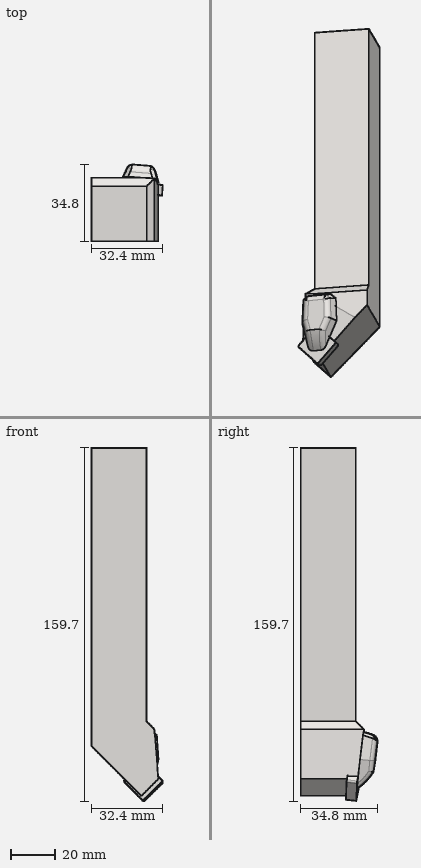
import cadquery as cq
import math

TOTAL_LENGTH = 159.67
SHANK_SIZE = 25.0
HEAD_HEIGHT = 28.85
RAMP_START_Z = 36.0
HEAD_RAMP_WIDTH = 3.5
POINT_X = 22.6
POINT_Z = 2.3
HEAD_SIDE_X = 30.3

INSERT_SIZE = 12.7
INSERT_THICKNESS = 4.76
INSERT_CORNER_RADIUS = 0.8
CUTTING_CORNER = (23.66, 25.1, -0.33)
RAKE_SLOPE_X = 0.08
RAKE_SLOPE_Z = 0.117

CLAMP_HEIGHT = 6.1
CLAMP_ROOT_DEPTH = 2.0
CLAMP_DRAFT = 20.0
CLAMP_RIM_RADIUS = 2.8
CLAMP_OUTLINE = [
    (-5.6, -34.2),
    (1.4, -34.2),
    (6.4, -30.7),
    (7.3, -19.3),
    (3.8, -3.0),
    (-2.6, -3.0),
    (-10.4, -19.0),
    (-10.4, -29.9),
]
CLAMP_TOP_FRONT_Y = -14.5
NOSE_ARC_MIDDLE = (-9.5, 3.1)
NOSE_ROOT_Y = -4.6
REAR_Y = -31.7
REAR_STEP = (-31.2, 2.4)
REAR_ARC_MIDDLE = (-30.2, 4.9)
REAR_ARC_TOP_Y = -28.3

BEYOND_REAR_Y = -40.0
CLAMP_CLEARANCE = 30.0
RAKE_CLEARANCE = 200.0

rake_plane = cq.Plane(
    origin=CUTTING_CORNER,
    xDir=(1, -RAKE_SLOPE_X, 0),
    normal=(RAKE_SLOPE_X, 1, -RAKE_SLOPE_Z),
)


def place_on_rake_plane(workplane):
    """Move a solid modelled around the XY plane onto the rake plane."""
    return cq.Workplane(workplane.val().moved(cq.Location(rake_plane)))


def make_shank_and_head():
    outline = [
        (0, TOTAL_LENGTH),
        (SHANK_SIZE, TOTAL_LENGTH),
        (SHANK_SIZE, RAMP_START_Z),
        (SHANK_SIZE + HEAD_RAMP_WIDTH, RAMP_START_Z - HEAD_RAMP_WIDTH),
        (HEAD_SIDE_X, POINT_Z + HEAD_SIDE_X - POINT_X),
        (POINT_X, POINT_Z),
        (0, POINT_Z + POINT_X),
    ]
    body = cq.Workplane("XZ").polyline(outline).close().extrude(-HEAD_HEIGHT)
    above_shank_outline = [
        (SHANK_SIZE, TOTAL_LENGTH),
        (HEAD_HEIGHT, TOTAL_LENGTH),
        (HEAD_HEIGHT, RAMP_START_Z - (HEAD_HEIGHT - SHANK_SIZE)),
        (SHANK_SIZE, RAMP_START_Z),
    ]
    above_shank = cq.Workplane("YZ").polyline(above_shank_outline).close().extrude(HEAD_SIDE_X)
    above_rake = cq.Workplane(rake_plane).rect(RAKE_CLEARANCE, RAKE_CLEARANCE).extrude(RAKE_CLEARANCE)
    return body.cut(above_shank).cut(above_rake)


def make_clamp():
    blank = (
        cq.Workplane("XY", origin=(0, 0, -CLAMP_ROOT_DEPTH))
        .polyline(CLAMP_OUTLINE)
        .close()
        .extrude(CLAMP_ROOT_DEPTH + CLAMP_HEIGHT, taper=CLAMP_DRAFT)
    )
    nose_profile = (
        cq.Workplane("YZ")
        .moveTo(BEYOND_REAR_Y, -CLAMP_ROOT_DEPTH)
        .lineTo(BEYOND_REAR_Y, CLAMP_HEIGHT)
        .lineTo(CLAMP_TOP_FRONT_Y, CLAMP_HEIGHT)
        .threePointArc(NOSE_ARC_MIDDLE, (NOSE_ROOT_Y, -CLAMP_ROOT_DEPTH))
        .close()
        .extrude(CLAMP_CLEARANCE, both=True)
    )
    clamp = blank.intersect(nose_profile)

    nose_sides = clamp.faces("%CYLINDER").edges("not |X")
    clamp = clamp.faces(">Z").edges("not >Y").add(nose_sides).fillet(CLAMP_RIM_RADIUS)

    rear_profile = (
        cq.Workplane("YZ")
        .moveTo(REAR_Y, 0)
        .lineTo(*REAR_STEP)
        .threePointArc(REAR_ARC_MIDDLE, (REAR_ARC_TOP_Y, CLAMP_HEIGHT))
        .lineTo(0, CLAMP_HEIGHT)
        .lineTo(0, 0)
        .close()
        .extrude(CLAMP_CLEARANCE, both=True)
    )
    return place_on_rake_plane(clamp.intersect(rear_profile))


def make_insert():
    plate = (
        cq.Workplane("XY")
        .rect(INSERT_SIZE, INSERT_SIZE)
        .extrude(-INSERT_THICKNESS)
        .edges("|Z")
        .fillet(INSERT_CORNER_RADIUS)
        .rotate((0, 0, 0), (0, 0, 1), 45)
        .translate((0, -INSERT_SIZE / math.sqrt(2), 0))
    )
    return place_on_rake_plane(plate)


insert = make_insert()

holder = make_shank_and_head().cut(insert).union(make_clamp())

result = cq.Compound.makeCompound([holder.solids().val(), insert.val()])